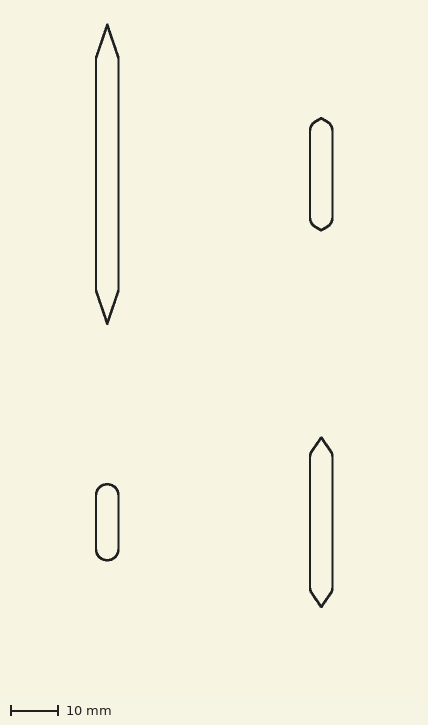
import cadquery as cq

length = 76.2
diameter = 4.7
point_length = 8.6

radius = diameter / 2
tip_height = length / 2
shoulder_height = tip_height - point_length

half_section = (
    cq.Workplane("XZ")
    .moveTo(0, -tip_height)
    .lineTo(-radius, -shoulder_height)
    .lineTo(-radius, shoulder_height)
    .lineTo(0, tip_height)
    .close()
)

result = half_section.revolve(360, (0, 0, 0), (0, 1, 0))